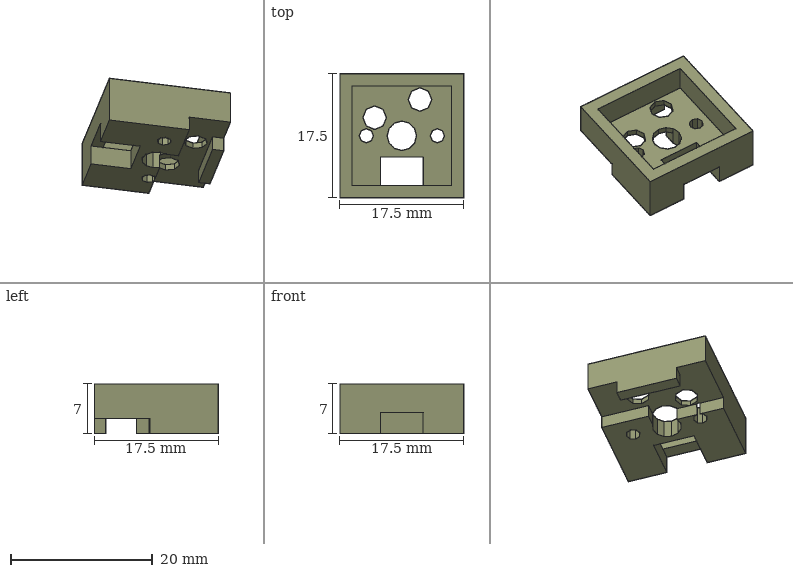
import cadquery as cq

side = 17.5
height = 7.0
recess_side = 14.0
floor_thickness = 3.0

grid = 1.28
left_pin_columns, left_pin_rows = 3, 2
right_pin_columns, right_pin_rows = 2, 4
center_diameter = 4.11
guide_diameter = 1.96
guide_offset = 5.0
pin_diameter = 3.29
center_sides = 12
small_hole_sides = 8

notch_width = 6.0
notch_back_y = -3.01

pocket_depth = 2.1
step_x = 1.77
wide_front_y = 0.9
narrow_front_y = 2.8
back_wall_y = 7.12
back_wall_end_x = 4.45


def box_between(x_range, y_range, z_range):
    """Box spanning the given low and high limits on each axis."""
    (x0, x1), (y0, y1), (z0, z1) = x_range, y_range, z_range
    return cq.Workplane("XY").box(x1 - x0, y1 - y0, z1 - z0, centered=False).translate((x0, y0, z0))


def floor_hole(x, y, diameter, sides):
    """Regular polygonal prism through the floor; diameter is across corners."""
    return cq.Workplane("XY").center(x, y).polygon(sides, diameter).extrude(height)


half = side / 2
half_recess = recess_side / 2
half_notch = notch_width / 2

body = box_between((-half, half), (-half, half), (0, height))
recess = box_between((-half_recess, half_recess), (-half_recess, half_recess), (floor_thickness, height))
notch = box_between((-half_notch, half_notch), (-half, notch_back_y), (0, floor_thickness))

wide_pocket = box_between((-half, step_x), (wide_front_y, half), (0, pocket_depth))
narrow_pocket = box_between((step_x, half), (narrow_front_y, half), (0, pocket_depth))
back_wall = box_between((-back_wall_end_x, back_wall_end_x), (back_wall_y, half), (0, pocket_depth))
socket_pocket = wide_pocket.union(narrow_pocket).cut(back_wall)

result = body.cut(recess).cut(notch).cut(socket_pocket)

for x, y, diameter, sides in [
    (0, 0, center_diameter, center_sides),
    (-guide_offset, 0, guide_diameter, small_hole_sides),
    (guide_offset, 0, guide_diameter, small_hole_sides),
    (-left_pin_columns * grid, left_pin_rows * grid, pin_diameter, small_hole_sides),
    (right_pin_columns * grid, right_pin_rows * grid, pin_diameter, small_hole_sides),
]:
    result = result.cut(floor_hole(x, y, diameter, sides))